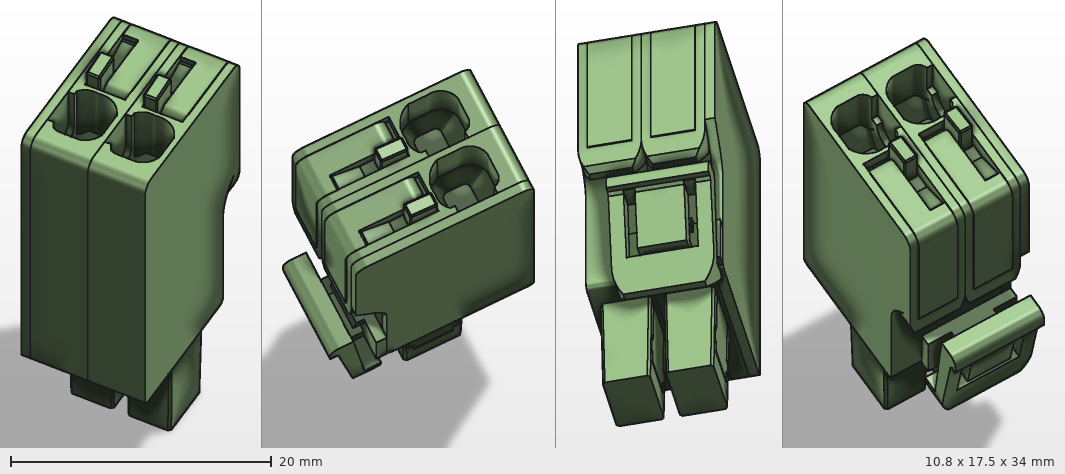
import cadquery as cq
import math


POLES = 2
PITCH = 5.0
COVER_THICKNESS = 0.8
HOUSING_HEIGHT = 24.15
PLUG_LENGTH = 8.31
OVERALL_HEIGHT = 34.0
LEVER_TOP = OVERALL_HEIGHT - PLUG_LENGTH
BACK_Y = 15.33
WAIST_Y = 12.65
CAPTURE = 1.0

TOP_RADIUS = 1.0
FOOT_RADIUS = 0.5
SLOPE_TOP_Z = 13.3
WAIST_RADIUS = 3.3

STRIP_X = 0.75
STRIP_WIDTH = 3.5
STRIP_SHIFT = 0.1
STRIP_FRONT_Y = 7.43
STRIP_FOOT_Z = 12.3
STRIP_NOSE_RADIUS = 1.04
STRIP_NOSE_Y = 7.73
STRIP_TOP_Z = HOUSING_HEIGHT - STRIP_SHIFT
POCKET_FLOOR_Z = STRIP_TOP_Z - STRIP_NOSE_RADIUS

SLOT_WIDTH = 1.35
SLOT_BACK_Y = 13.6
SLOT_FLOOR_DEPTH = 1.35
LEDGE_FRONT_Y = 13.38
LEDGE_DEPTH = 0.5
RAMP_FRONT_Y = 11.02
LEVER_CLEARANCE = 0.06
LEVER_FRONT_Y = 7.45
LEVER_BACK_Y = 9.83
LEVER_TOP_DROP = 0.25
LEVER_CHAMFER = 0.13
SLOT_FLOOR_Z = STRIP_TOP_Z - SLOT_FLOOR_DEPTH

ENTRY_LEFT = 0.55
ENTRY_RIGHT = 4.48
ENTRY_FRONT_Y = 2.02
ENTRY_BACK_Y = 7.05
ENTRY_CORNERS = ((0.8, 1.0), (1.3, 1.9), (2.4, 1.4), (1.5, 0.55))
MOUTH_CORNERS = ((0.15, 0.5), (0.9, 1.9), (1.0, 1.65), (0.3, 0.5))
ENTRY_DEPTH = 4.5
FUNNEL_DEPTH = 1.7
THROAT_LEFT = 0.67
THROAT_RIGHT = 3.6
THROAT_FRONT_Y = 3.46
THROAT_BACK_Y = 5.77
THROAT_CORNERS = ((0.5, 0.5),) * 4
NOTCH_SHELF_Y = 2.75
NOTCH_FRONT_Y = 3.45
NOTCH_BACK_Y = 6.12

HOOK_TOP_Z = 12.3
HOOK_BOTTOM_Z = 9.75
HOOK_TIP_Y = 14.4
HOOK_TIP_WIDTH = 0.6
HOOK_HEEL_Z = 10.35
HOOK_FRONT_Y = 13.62
HOOK_FRONT_Z = 11.3
SIDE_RADIUS = 4.5

PLUG_X = 0.32
PLUG_WIDTH = 4.0
PLUG_FRONT_Y = 5.43
PLUG_BACK_Y = 10.65
PLUG_NARROWING = 0.13
PLUG_CHAMFER = 0.2

CONTACT_THICKNESS = 0.8
CONTACT_WIDTH = 3.41
CONTACT_LENGTH = 6.05
CONTACT_MID_Y = (PLUG_FRONT_Y + PLUG_BACK_Y) / 2
CONTACT_GAP = 0.17
EAR_WIDTH = 4.2
EAR_TOP = 3.85
EAR_BOTTOM = 5.15
EAR_GAP = 0.08

LATCH_WIDTH = 8.06
LATCH_BACK_Y = 17.53
LATCH_TOP_Z = 7.08
LATCH_TIP_Z = -3.93
LATCH_HEAD_RADIUS = 0.85
LATCH_HEAD_FOOT_Z = 5.5
ARM_TOP_FRONT_Y = 15.53
ARM_NECK_Y = 16.8
ARM_NECK_Z = 5.25
CLAW_Z = -1.36
CLAW_FRONT_Y = 13.15
CLAW_NOSE_Z = -1.95
CLAW_ROOT_Y = 14.57
CLAW_ROOT_Z = -1.5
TIP_BACK_Y = 15.26
TIP_FRONT_Y = 14.64
BASE_BOTTOM_Z = 0.1
BASE_TOP_Z = 4.1
BASE_BACK_Y = 13.57
BRIDGE_HEIGHT = 1.0
BARB_BACK_Y = 14.5
BARB_TOP_BACK_Y = 14.22
BARB_HEIGHT = 0.9
WINDOW_SIDE = 1.2
WINDOW_GAP = 0.9
WINDOW_TOP_Z = 5.45
WINDOW_BOTTOM_Z = -0.6


def box(x0, x1, y0, y1, z0, z1):
    return cq.Workplane("XY").box(x1 - x0, y1 - y0, z1 - z0, centered=False).translate((x0, y0, z0))


def side_extrusion(outline, x0, x1):
    """Extrude a closed outline, drawn in the YZ plane, from x0 to x1."""
    return outline.close().extrude(x1 - x0).translate((x0, 0, 0))


def side_body(x0, x1):
    """Slab with the side outline: sloped and hollowed behind, rounded at the ends."""
    eighth_turn = math.radians(45)
    arc_rise = WAIST_RADIUS * math.sin(eighth_turn)
    arc_run = WAIST_RADIUS * (1 - math.cos(eighth_turn))
    slope_run = BACK_Y - WAIST_Y - arc_run
    slope_foot_z = SLOPE_TOP_Z - slope_run
    outline = (
        cq.Workplane("YZ")
        .lineTo(WAIST_Y, 0)
        .lineTo(WAIST_Y, slope_foot_z - arc_rise)
        .tangentArcPoint((WAIST_Y + arc_run, slope_foot_z), relative=False)
        .lineTo(BACK_Y, SLOPE_TOP_Z)
        .lineTo(BACK_Y, HOUSING_HEIGHT)
        .lineTo(0, HOUSING_HEIGHT)
    )
    slab = side_extrusion(outline, x0, x1)
    slab = slab.faces(">Z").edges("|X").fillet(TOP_RADIUS)
    return slab.faces("<Z").edges("|X").fillet(FOOT_RADIUS)


def rounded_ends(x0, x1, start_z, end_z):
    """Downward-narrowing envelope whose two sides curve inward below start_z."""
    drop = start_z - end_z
    inset = SIDE_RADIUS - math.sqrt(SIDE_RADIUS**2 - drop**2)
    return (
        cq.Workplane("XZ")
        .moveTo(x0, HOUSING_HEIGHT)
        .lineTo(x0, start_z)
        .tangentArcPoint((x0 + inset, end_z), relative=False)
        .lineTo(x1 - inset, end_z)
        .radiusArc((x1, start_z), -SIDE_RADIUS)
        .lineTo(x1, HOUSING_HEIGHT)
        .close()
        .extrude(-2 * BACK_Y)
    )


def cornered_outline(plane, x0, x1, y0, y1, corners):
    """Rectangle with elliptic corners, each (x size, y size), counter-clockwise from x0, y0."""
    (ax, ay), (bx, by), (cx, cy), (dx, dy) = corners
    bulge = 1 - math.cos(math.radians(45))
    return (
        plane.moveTo(x0 + ax, y0)
        .lineTo(x1 - bx, y0)
        .threePointArc((x1 - bx * bulge, y0 + by * bulge), (x1, y0 + by))
        .lineTo(x1, y1 - cy)
        .threePointArc((x1 - cx * bulge, y1 - cy * bulge), (x1 - cx, y1))
        .lineTo(x0 + dx, y1)
        .threePointArc((x0 + dx * bulge, y1 - dy * bulge), (x0, y1 - dy))
        .lineTo(x0, y0 + ay)
        .threePointArc((x0 + ax * bulge, y0 + ay * bulge), (x0 + ax, y0))
        .close()
    )


def wire_entry(x):
    """Straight entry, a funnel below it and a round-bottomed, shelved notch in the left wall."""
    bounds = (x + ENTRY_LEFT, x + ENTRY_RIGHT, ENTRY_FRONT_Y, ENTRY_BACK_Y)
    throat = (x + THROAT_LEFT, x + THROAT_RIGHT, THROAT_FRONT_Y, THROAT_BACK_Y, THROAT_CORNERS)
    funnel_z = HOUSING_HEIGHT - ENTRY_DEPTH
    top = cq.Workplane("XY", origin=(0, 0, funnel_z))
    straight = cornered_outline(top, *bounds, ENTRY_CORNERS).extrude(ENTRY_DEPTH)
    shaft = cornered_outline(top, *bounds, ENTRY_CORNERS).extrude(-FUNNEL_DEPTH)
    mouth = cornered_outline(top, *bounds, MOUTH_CORNERS)
    funnel = cornered_outline(mouth.workplane(offset=-FUNNEL_DEPTH), *throat).loft(ruled=True)
    funnel = funnel.intersect(shaft)
    notch_radius = (NOTCH_BACK_Y - NOTCH_FRONT_Y) / 2
    spring_z = funnel_z + notch_radius
    notch_outline = (
        cq.Workplane("YZ")
        .moveTo(NOTCH_SHELF_Y, HOUSING_HEIGHT)
        .lineTo(NOTCH_SHELF_Y, spring_z)
        .lineTo(NOTCH_FRONT_Y, spring_z)
        .threePointArc((NOTCH_FRONT_Y + notch_radius, funnel_z), (NOTCH_BACK_Y, spring_z))
        .lineTo(NOTCH_BACK_Y, HOUSING_HEIGHT)
    )
    notch = side_extrusion(notch_outline, x, x + ENTRY_LEFT + CAPTURE)
    return straight.union(funnel).union(notch)


def strip(x):
    """Strip filling the top channel and standing proud of the back, rounded at both ends."""
    x0 = x + STRIP_X
    x1 = x0 + STRIP_WIDTH
    back_y = BACK_Y + STRIP_SHIFT
    body = box(x0, x1, STRIP_NOSE_Y, back_y, STRIP_FOOT_Z, STRIP_TOP_Z)
    body = body.faces(">Y").edges(">Z").fillet(TOP_RADIUS)
    return body.faces("<Y").edges(">Z").fillet(STRIP_NOSE_RADIUS)


def lever_slot(x):
    """Slot along the strip's left side: a ledge, a ramp and the floor the lever stands on."""
    x0 = x + STRIP_X
    slot_outline = (
        cq.Workplane("YZ")
        .moveTo(SLOT_BACK_Y, HOUSING_HEIGHT)
        .lineTo(SLOT_BACK_Y, STRIP_TOP_Z - LEDGE_DEPTH)
        .lineTo(LEDGE_FRONT_Y, STRIP_TOP_Z - LEDGE_DEPTH)
        .lineTo(RAMP_FRONT_Y, SLOT_FLOOR_Z)
        .lineTo(STRIP_FRONT_Y, SLOT_FLOOR_Z)
        .lineTo(STRIP_FRONT_Y, HOUSING_HEIGHT)
    )
    return side_extrusion(slot_outline, x0, x0 + SLOT_WIDTH)


def housing_hook(x):
    """Catch hanging from the sloped back, with rounded lower corners."""
    outline = (
        cq.Workplane("YZ")
        .moveTo(BACK_Y, SLOPE_TOP_Z)
        .lineTo(BACK_Y, HOOK_HEEL_Z)
        .lineTo(HOOK_TIP_Y + HOOK_TIP_WIDTH, HOOK_BOTTOM_Z)
        .lineTo(HOOK_TIP_Y, HOOK_BOTTOM_Z)
        .lineTo(HOOK_FRONT_Y, HOOK_FRONT_Z)
        .lineTo(HOOK_FRONT_Y, SLOPE_TOP_Z)
    )
    hook = side_extrusion(outline, x, x + PITCH)
    return hook.intersect(rounded_ends(x, x + PITCH, HOOK_TOP_Z, HOOK_BOTTOM_Z))


def plug(x):
    """Tapered plug under a housing, with chamfered upright edges."""
    mid_x = x + PLUG_X + PLUG_WIDTH / 2
    depth = PLUG_BACK_Y - PLUG_FRONT_Y
    taper = math.degrees(math.atan(PLUG_NARROWING / PLUG_LENGTH))
    outline = cq.Workplane("XY").rect(PLUG_WIDTH, depth).extrude(-PLUG_LENGTH, taper=taper)
    return outline.edges("not #Z").chamfer(PLUG_CHAMFER).translate((mid_x, CONTACT_MID_Y, 0))


def contact_blank(x, end_gap, ear_gap):
    """Contact plate with two ears, enlarged by the given gaps and open to the left."""
    x0 = x
    x1 = x + PLUG_X + CONTACT_THICKNESS
    half = CONTACT_WIDTH / 2
    ear = EAR_WIDTH / 2 + ear_gap
    plate = box(x0, x1, CONTACT_MID_Y - half, CONTACT_MID_Y + half, -CONTACT_LENGTH - end_gap, 0)
    ears = box(x0, x1, CONTACT_MID_Y - ear, CONTACT_MID_Y + ear, -EAR_BOTTOM - ear_gap, -EAR_TOP + ear_gap)
    return plate.union(ears)


def housing(x):
    wall_x = x + STRIP_X
    body = side_body(x, x + PITCH)
    body = body.cut(
        box(wall_x, wall_x + STRIP_WIDTH, STRIP_FRONT_Y, BACK_Y, POCKET_FLOOR_Z, HOUSING_HEIGHT)
    )
    body = body.union(strip(x)).union(housing_hook(x)).union(plug(x))
    body = body.cut(lever_slot(x)).cut(wire_entry(x))
    return body.cut(contact_blank(x, CONTACT_GAP, EAR_GAP))


def contact(x):
    """Contact plate lying flush with the tapered side of its plug."""
    return contact_blank(x, 0, 0).intersect(plug(x))


def lever(x):
    """Release lever standing on the slot floor, its top sloping down to the front."""
    x0 = x + STRIP_X + LEVER_CLEARANCE
    x1 = x + STRIP_X + SLOT_WIDTH - LEVER_CLEARANCE
    crest_trim = LEVER_CHAMFER * math.sin(math.atan(LEVER_TOP_DROP / (LEVER_BACK_Y - LEVER_FRONT_Y)))
    crest_z = LEVER_TOP + crest_trim
    outline = (
        cq.Workplane("YZ")
        .moveTo(LEVER_FRONT_Y, SLOT_FLOOR_Z)
        .lineTo(LEVER_BACK_Y, SLOT_FLOOR_Z)
        .lineTo(LEVER_BACK_Y, crest_z)
        .lineTo(LEVER_FRONT_Y, crest_z - LEVER_TOP_DROP)
    )
    stem = side_extrusion(outline, x0, x1)
    return stem.faces("not <Z").edges("not <Z").chamfer(LEVER_CHAMFER)


def latch():
    """Rocking latch: base plate and barb, bridge, spring tongue and clawed arm."""
    arm_outline = (
        cq.Workplane("YZ")
        .moveTo(ARM_TOP_FRONT_Y, LATCH_TOP_Z)
        .lineTo(LATCH_BACK_Y - LATCH_HEAD_RADIUS, LATCH_TOP_Z)
        .tangentArcPoint((LATCH_BACK_Y, LATCH_TOP_Z - LATCH_HEAD_RADIUS), relative=False)
        .lineTo(LATCH_BACK_Y, LATCH_HEAD_FOOT_Z)
        .lineTo(ARM_NECK_Y + (LATCH_HEAD_FOOT_Z - ARM_NECK_Z), LATCH_HEAD_FOOT_Z)
        .lineTo(ARM_NECK_Y, ARM_NECK_Z)
        .lineTo(TIP_BACK_Y, LATCH_TIP_Z)
        .lineTo(TIP_FRONT_Y, LATCH_TIP_Z)
        .lineTo(CLAW_FRONT_Y, CLAW_NOSE_Z)
        .lineTo(CLAW_FRONT_Y, CLAW_Z)
        .lineTo(CLAW_ROOT_Y, CLAW_ROOT_Z)
    )
    arm = side_extrusion(arm_outline, 0, LATCH_WIDTH)
    arm = arm.intersect(rounded_ends(0, LATCH_WIDTH, CLAW_Z, LATCH_TIP_Z))

    tongue_x0 = WINDOW_SIDE + WINDOW_GAP
    tongue_x1 = LATCH_WIDTH - tongue_x0
    window = box(
        WINDOW_SIDE, LATCH_WIDTH - WINDOW_SIDE, BASE_BACK_Y, LATCH_BACK_Y, WINDOW_BOTTOM_Z, WINDOW_TOP_Z
    )
    tongue = box(tongue_x0, tongue_x1, BASE_BACK_Y, LATCH_BACK_Y, BASE_BOTTOM_Z, WINDOW_TOP_Z)
    arm = arm.cut(window.cut(tongue))

    base = box(0, LATCH_WIDTH, WAIST_Y, BASE_BACK_Y, BASE_BOTTOM_Z, BASE_TOP_Z)
    bridge = box(
        tongue_x0, tongue_x1, BASE_BACK_Y, TIP_BACK_Y, BASE_BOTTOM_Z, BASE_BOTTOM_Z + BRIDGE_HEIGHT
    )
    barb_outline = (
        cq.Workplane("YZ")
        .moveTo(BASE_BACK_Y, BASE_TOP_Z)
        .lineTo(BARB_TOP_BACK_Y, BASE_TOP_Z)
        .lineTo(BARB_BACK_Y, BASE_TOP_Z - BARB_HEIGHT)
        .lineTo(BASE_BACK_Y, BASE_TOP_Z - BARB_HEIGHT)
    )
    barb = side_extrusion(barb_outline, tongue_x0, tongue_x1)
    return arm.union(base).union(bridge).union(barb)


cover = side_body(0, COVER_THICKNESS)
bodies = [cover, latch()]
for pole in range(POLES):
    pole_x = COVER_THICKNESS + pole * PITCH
    bodies += [housing(pole_x), contact(pole_x), lever(pole_x)]

result = cq.Compound.makeCompound([body.solids().val() for body in bodies])